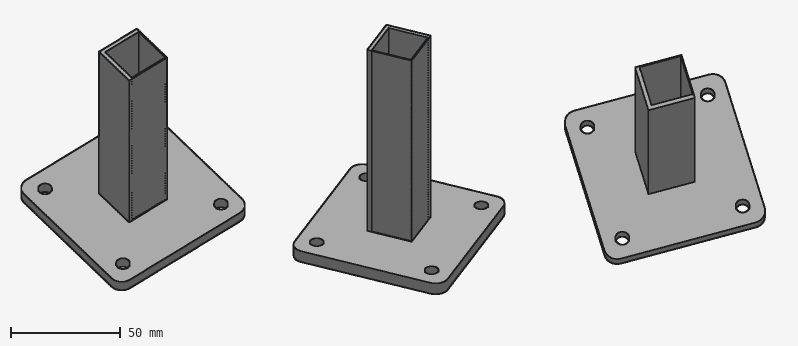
import cadquery as cq

plate_side = 76.0
plate_thickness = 6.0
corner_radius = 6.0
hole_diameter = 6.4
hole_spacing = 57.0

total_height = 106.0
tube_side = 22.0
bore_side = 19.5
bore_offset = 0.7
tube_length = total_height - plate_thickness

plate = (
    cq.Workplane("XY")
    .rect(plate_side, plate_side)
    .extrude(plate_thickness)
    .edges("|Z")
    .fillet(corner_radius)
    .faces(">Z")
    .workplane()
    .rect(hole_spacing, hole_spacing, forConstruction=True)
    .vertices()
    .hole(hole_diameter)
)

tube_base = cq.Workplane("XY").workplane(offset=plate_thickness)
post = tube_base.rect(tube_side, tube_side).extrude(tube_length)
bore = tube_base.center(bore_offset, bore_offset).rect(bore_side, bore_side).extrude(tube_length)

result = plate.union(post.cut(bore))